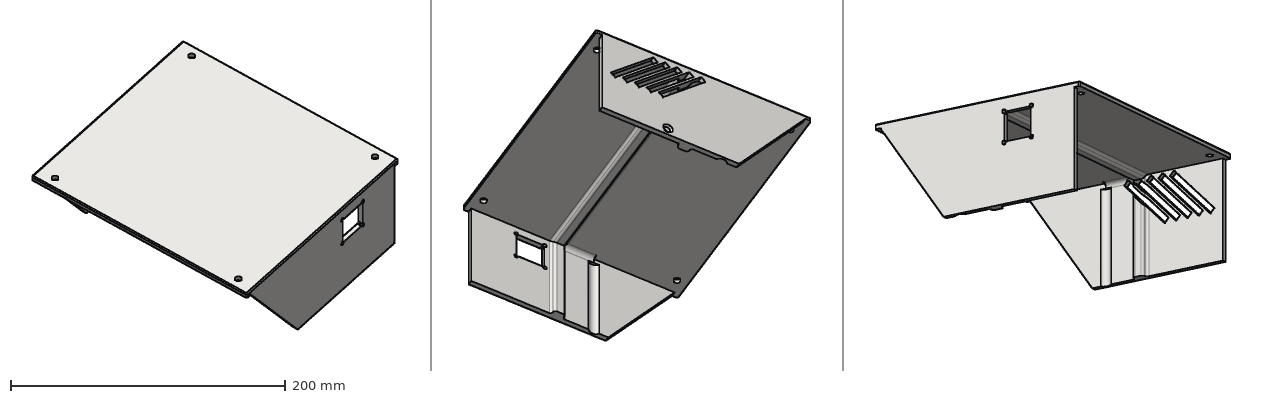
import cadquery as cq
import math

width = 200.0
depth = 179.5
height = 82.5
plate_thickness = 4.0
plate_bottom = height - plate_thickness
edge_bevel_x = 1.2
edge_bevel_y = 1.0
edge_bevel_z = 1.0

wall_thickness = 4.0
wall_inset = 4.8
wall_back = depth / 2 - wall_inset
wall_front_top = -wall_back
wall_front_bottom = -29.5
inner_half_width = width / 2 - wall_thickness
corner_radius = 4.0

rib_height = 4.2
rib_radius = rib_height / 2
rib_top_width = 5.2
rib_y = 13.2

groove_y = -17.5
groove_width = 8.8
groove_depth = 2.2

screw_hole_diameter = 5.0
screw_spacing_x = 170.0
screw_spacing_y = 161.5

slot_count = 5
slot_pitch = 10.0
slot_length = 50.0
slot_width = 5.0
slot_angle = 45.0
slot_center_y = 38.0
slot_center_z = 57.8

fan_opening = 23.2
fan_hole_spacing = 24.0
fan_hole_diameter = 3.0
fan_center_y = 35.5
fan_center_z = 59.5

dimple_y = 29.8
dimple_z = 6.8
dimple_diameter = 8.0
dimple_floor_diameter = 5.0
dimple_rim_depth = 1.5
dimple_depth = 2.5

overlap = 1.0


def make_plate():
    half_x = width / 2
    half_y = depth / 2
    shoulder = height - edge_bevel_z
    plan = [
        (half_x, half_y - edge_bevel_y),
        (half_x - edge_bevel_x, half_y),
        (edge_bevel_x - half_x, half_y),
        (-half_x, half_y - edge_bevel_y),
        (-half_x, edge_bevel_y - half_y),
        (edge_bevel_x - half_x, -half_y),
        (half_x - edge_bevel_x, -half_y),
        (half_x, edge_bevel_y - half_y),
    ]

    def bevelled_side(half_length, bevel):
        return [
            (-half_length, plate_bottom),
            (half_length, plate_bottom),
            (half_length, shoulder),
            (half_length - bevel, height),
            (bevel - half_length, height),
            (-half_length, shoulder),
        ]

    plate = cq.Workplane("XY").polyline(plan).close().extrude(height)
    for plane, outline in (
        ("XZ", bevelled_side(half_x, edge_bevel_x)),
        ("YZ", bevelled_side(half_y, edge_bevel_y)),
    ):
        plate = plate.intersect(cq.Workplane(plane).polyline(outline).close().extrude(width, both=True))
    return plate


def wall_outline(half_width):
    """Block with the side profile of the walls, spanning the given half width both ways."""
    outline = [
        (wall_back, 0),
        (wall_back, plate_bottom),
        (wall_front_top, plate_bottom),
        (wall_front_bottom, 0),
    ]
    return cq.Workplane("YZ").polyline(outline).close().extrude(half_width, both=True)


def make_walls():
    return wall_outline(width / 2).cut(wall_outline(inner_half_width))


def make_corner_fillets():
    """Concave fillets between the plate and the walls, from the grooves back to the rib."""
    middle = corner_radius * (1 - math.sqrt(0.5))
    fillet = (
        cq.Workplane("XZ", origin=(inner_half_width, rib_y, plate_bottom))
        .moveTo(overlap, -corner_radius)
        .lineTo(0, -corner_radius)
        .threePointArc((-middle, -middle), (-corner_radius, 0))
        .lineTo(-corner_radius, overlap)
        .lineTo(overlap, overlap)
        .close()
        .extrude(rib_y - groove_y)
    )
    return fillet.union(fillet.mirror("YZ"))


def rib_profile(plane):
    """Rib cross-section: local x runs along Y, local y points from the surface into the channel."""
    half_top = rib_top_width / 2
    half_middle = half_top + rib_radius
    half_foot = half_middle + rib_radius
    diagonal = rib_radius * math.sqrt(0.5)
    crown_x = half_top + diagonal
    crown_y = rib_radius + diagonal
    hollow_x = half_foot - diagonal
    hollow_y = rib_radius - diagonal
    return (
        cq.Workplane(plane)
        .moveTo(-half_foot, 0)
        .threePointArc((-hollow_x, hollow_y), (-half_middle, rib_radius))
        .threePointArc((-crown_x, crown_y), (-half_top, rib_height))
        .lineTo(half_top, rib_height)
        .threePointArc((crown_x, crown_y), (half_middle, rib_radius))
        .threePointArc((hollow_x, hollow_y), (half_foot, 0))
        .lineTo(half_foot, -overlap)
        .lineTo(-half_foot, -overlap)
        .close()
    )


def make_rib():
    leg_plane = cq.Plane((inner_half_width, rib_y, 0), xDir=(0, 1, 0), normal=(0, 0, 1))
    leg = rib_profile(leg_plane).extrude(plate_bottom + overlap)
    beam_plane = cq.Plane((inner_half_width, rib_y, plate_bottom), xDir=(0, 1, 0), normal=(-1, 0, 0))
    beam = rib_profile(beam_plane).extrude(2 * inner_half_width)
    return beam.union(leg).union(leg.mirror("YZ"))


def make_grooves():
    half_groove = groove_width / 2
    groove = (
        cq.Workplane("XY")
        .moveTo(inner_half_width, groove_y - half_groove)
        .threePointArc(
            (inner_half_width + groove_depth, groove_y), (inner_half_width, groove_y + half_groove)
        )
        .close()
        .extrude(plate_bottom - corner_radius)
    )
    return groove.union(groove.mirror("YZ"))


def make_screw_holes():
    return (
        cq.Workplane("XY", origin=(0, 0, plate_bottom - overlap))
        .rect(screw_spacing_x, screw_spacing_y, forConstruction=True)
        .vertices()
        .circle(screw_hole_diameter / 2)
        .extrude(plate_thickness + 2 * overlap)
    )


def make_slots():
    first_y = slot_center_y + slot_pitch * (slot_count - 1) / 2
    cut_depth = wall_thickness + rib_height
    slot = (
        cq.Workplane("XY", origin=(-width / 2, first_y, slot_center_z))
        .transformed(rotate=(-slot_angle, 0, 0))
        .box(cut_depth, slot_length, slot_width, centered=(False, True, True))
    )
    slots = slot
    for index in range(1, slot_count):
        slots = slots.union(slot.translate((0, -index * slot_pitch, 0)))
    return slots


def make_fan_cutout():
    plane = cq.Workplane("YZ", origin=(inner_half_width - overlap, fan_center_y, fan_center_z))
    cut_depth = wall_thickness + 2 * overlap
    opening = plane.rect(fan_opening, fan_opening).extrude(cut_depth)
    holes = (
        plane.rect(fan_hole_spacing, fan_hole_spacing, forConstruction=True)
        .vertices()
        .circle(fan_hole_diameter / 2)
        .extrude(cut_depth)
    )
    return opening.union(holes)


def make_dimple():
    profile = [
        (0, 0),
        (0, dimple_diameter / 2),
        (dimple_rim_depth, dimple_floor_diameter / 2),
        (dimple_depth, 0),
    ]
    dimple = cq.Workplane("XY").polyline(profile).close().revolve(360, (0, 0), (1, 0))
    return dimple.translate((-width / 2, dimple_y, dimple_z))


result = (
    make_plate()
    .union(make_walls())
    .union(make_corner_fillets())
    .union(make_rib())
    .cut(make_grooves())
    .cut(make_screw_holes())
    .cut(make_slots())
    .cut(make_fan_cutout())
    .cut(make_dimple())
)